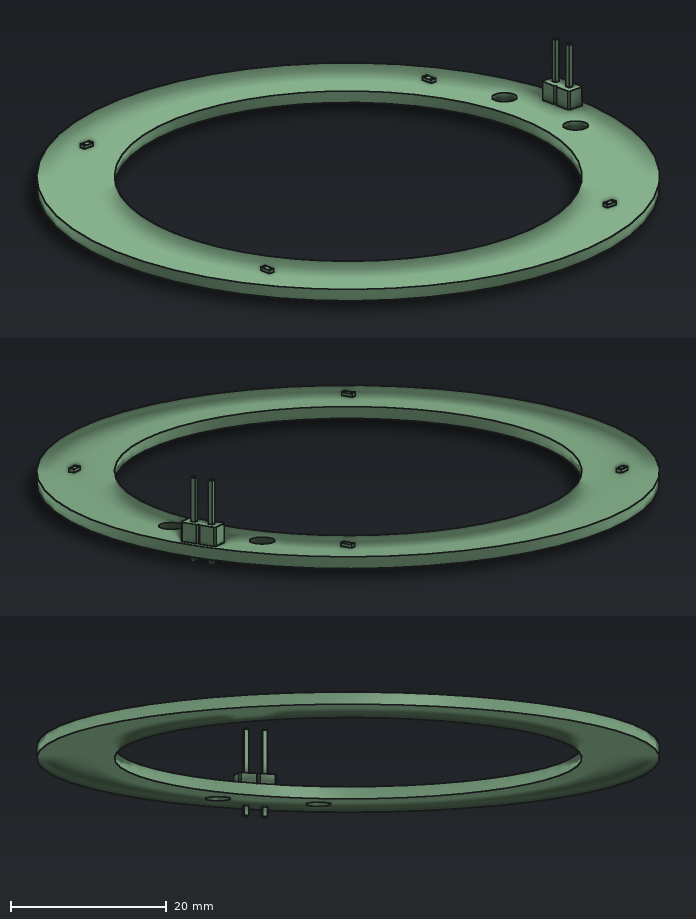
import cadquery as cq

RING_OUTER_DIAMETER = 80.0
RING_INNER_DIAMETER = 60.0
BOARD_THICKNESS = 1.6
RING_HOLE_DIAMETER = 3.2
RING_HOLE_CENTRES = [(-6.3, 33.7), (7.2, 33.4)]

PIN_COUNT = 2
PIN_PITCH = 2.6
PIN_WIDTH = 0.6
PIN_TIP_CHAMFER = PIN_WIDTH / 4
PIN_LENGTH = 11.5
PIN_TAIL = 1.4
HEADER_CENTRE = (0.1, 37.8)
HEADER_HEIGHT = 2.6
HEADER_CORNER_CHAMFER = 0.2

CHIP_COUNT = 4
CHIP_LENGTH = 1.6
CHIP_WIDTH = 0.8
CHIP_HEIGHT = 0.5
TERMINAL_LENGTH = 0.2
TERMINAL_STEP = 0.04
FIRST_CHIP_CENTRE = (-17.2, 30.6)


def pin_centres():
    """Pins in a row along X, evenly spaced about the header centre."""
    first_x = HEADER_CENTRE[0] - PIN_PITCH * (PIN_COUNT - 1) / 2
    return [(first_x + i * PIN_PITCH, HEADER_CENTRE[1]) for i in range(PIN_COUNT)]


def make_board():
    """Flat ring with two round holes and a square hole for each pin."""
    ring = (
        cq.Workplane("XY")
        .circle(RING_OUTER_DIAMETER / 2)
        .circle(RING_INNER_DIAMETER / 2)
        .extrude(BOARD_THICKNESS)
    )
    round_holes = (
        cq.Workplane("XY")
        .pushPoints(RING_HOLE_CENTRES)
        .circle(RING_HOLE_DIAMETER / 2)
        .extrude(BOARD_THICKNESS)
    )
    pin_holes = (
        cq.Workplane("XY")
        .pushPoints(pin_centres())
        .rect(PIN_WIDTH, PIN_WIDTH)
        .extrude(BOARD_THICKNESS)
    )
    return ring.cut(round_holes).cut(pin_holes).solids()


def make_header():
    """Row of chamfered square blocks, each with a square pin through it."""
    header = cq.Workplane("XY")
    for x, y in pin_centres():
        block = (
            cq.Workplane("XY", origin=(x, y, BOARD_THICKNESS))
            .rect(PIN_PITCH, PIN_PITCH)
            .extrude(HEADER_HEIGHT)
            .edges("|Z")
            .chamfer(HEADER_CORNER_CHAMFER)
        )
        pin = (
            cq.Workplane("XY", origin=(x, y, -PIN_TAIL))
            .rect(PIN_WIDTH, PIN_WIDTH)
            .extrude(PIN_LENGTH)
            .faces("<Z or >Z")
            .chamfer(PIN_TIP_CHAMFER)
        )
        header = header.add(block).add(pin)
    return header.combine().solids()


def make_chip():
    """Chip component standing on the board's top level at X = Y = 0, long side along X."""
    on_board = (True, True, False)
    terminal_x = (CHIP_LENGTH - TERMINAL_LENGTH) / 2
    middle = cq.Workplane("XY", origin=(0, 0, BOARD_THICKNESS)).box(
        CHIP_LENGTH - 2 * TERMINAL_LENGTH,
        CHIP_WIDTH,
        CHIP_HEIGHT - TERMINAL_STEP,
        centered=on_board,
    )
    terminals = (
        cq.Workplane("XY", origin=(0, 0, BOARD_THICKNESS))
        .pushPoints([(-terminal_x, 0), (terminal_x, 0)])
        .box(TERMINAL_LENGTH, CHIP_WIDTH, CHIP_HEIGHT, centered=on_board)
    )
    return middle.union(terminals).solids()


def make_chips():
    """Chips spaced evenly around the ring, each turned with its position."""
    first_chip = make_chip().translate((*FIRST_CHIP_CENTRE, 0))
    step_angle = 360 / CHIP_COUNT
    return [first_chip.rotate((0, 0, 0), (0, 0, 1), i * step_angle) for i in range(CHIP_COUNT)]


board = make_board()
header = make_header()
chips = make_chips()

result = cq.Compound.makeCompound([board.val(), header.val(), *[chip.val() for chip in chips]])